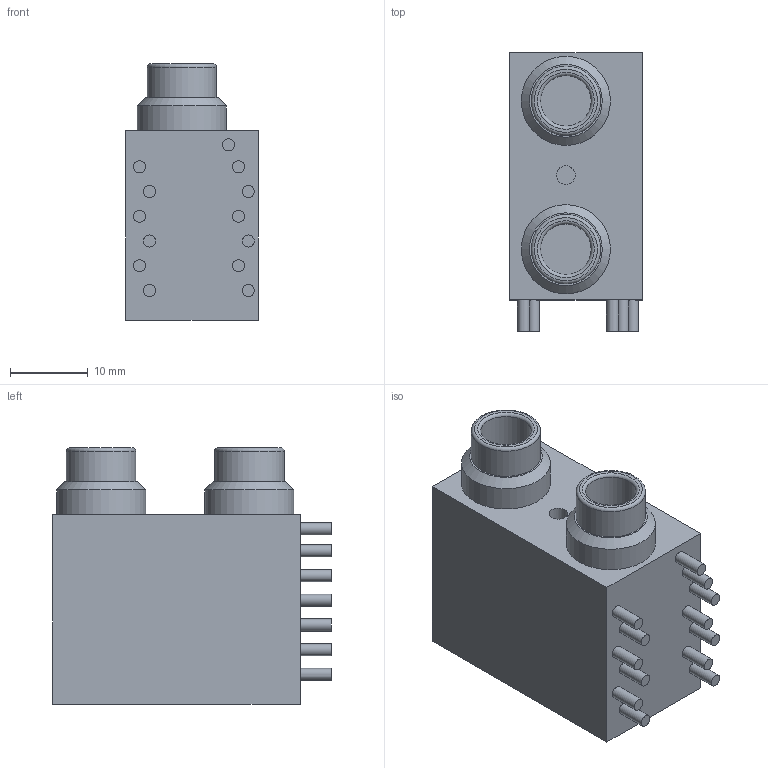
import cadquery as cq

body_width = 17.0
body_depth = 31.75
body_height = 24.3

socket_count = 2
socket_pitch = 19.05
socket_x = 7.2
front_socket_y = 6.5
socket_height = 8.6
collar_radius = 5.72
collar_straight_height = 3.2
collar_chamfer = 1.05
sleeve_radius = 4.45
bore_radius = 3.25
rim_fillet = 0.4

hole_diameter = 2.4
hole_depth = 5.0

pin_diameter = 1.55
pin_length = 4.0
pin_stagger = 1.27
pin_column_spacing = 10 * pin_stagger
pin_row_pitch = 3.175
pin_rows = 6
first_column_x = 1.76
first_row_drop = 4.62
extra_pin_drop = 1.8


def make_body():
    return cq.Workplane("XY").box(body_width, body_depth, body_height, centered=False)


def make_socket(y):
    """Chamfered collar with a narrower round sleeve, bored down to the body's top face."""
    collar_total = collar_straight_height + collar_chamfer
    collar = (
        cq.Workplane("XY")
        .circle(collar_radius)
        .extrude(collar_total)
        .faces(">Z")
        .chamfer(collar_chamfer)
    )
    sleeve = cq.Workplane("XY").circle(sleeve_radius).extrude(socket_height)
    bore = cq.Workplane("XY").circle(bore_radius).extrude(socket_height)
    socket = collar.union(sleeve).cut(bore).faces(">Z").edges().fillet(rim_fillet)
    return socket.translate((socket_x, y, body_height))


def make_hole(y):
    return (
        cq.Workplane("XY", origin=(socket_x, y, body_height))
        .circle(hole_diameter / 2)
        .extrude(-hole_depth)
    )


def pin_positions():
    """(X, Z) centres: two staggered columns plus one extra pin above the right column."""
    right_column_x = first_column_x + pin_column_spacing
    positions = [(right_column_x - pin_stagger, body_height - extra_pin_drop)]
    for row in range(pin_rows):
        offset = pin_stagger * (row % 2)
        z = body_height - first_row_drop - row * pin_row_pitch
        positions.append((first_column_x + offset, z))
        positions.append((right_column_x + offset, z))
    return positions


def make_pin(x, z):
    """Round pin pointing out of the front face in -Y."""
    return (
        cq.Workplane("XZ", origin=(x, 0, z))
        .circle(pin_diameter / 2)
        .extrude(pin_length)
    )


result = make_body()

for index in range(socket_count):
    result = result.union(make_socket(front_socket_y + index * socket_pitch))

result = result.cut(make_hole(front_socket_y + socket_pitch / 2))

for pin_x, pin_z in pin_positions():
    result = result.union(make_pin(pin_x, pin_z))